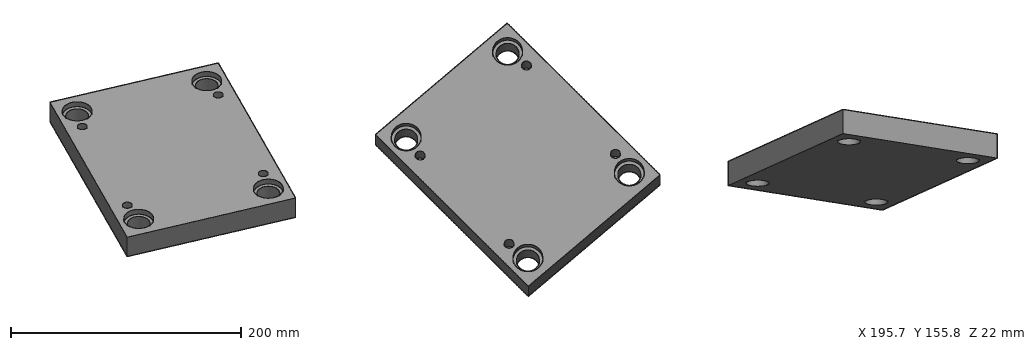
import cadquery as cq
import math

length = 195.7
width = 155.8
thickness = 22.0

bolt_spacing_x = 155.8
bolt_spacing_y = 119.8
bolt_hole_diameter = 20.0
counterbore_diameter = 26.0
counterbore_depth = 5.5

drill_spacing_x = 113.9
drill_spacing_y = 125.6
drill_diameter = 8.5
drill_depth = 15.0
drill_point_angle = 118.0


def drill_cutter():
    """Revolved drill shape with its mouth at the origin, pointing down."""
    radius = drill_diameter / 2
    point_height = radius / math.tan(math.radians(drill_point_angle / 2))
    return (
        cq.Workplane("XZ")
        .moveTo(0, 0)
        .lineTo(radius, 0)
        .lineTo(radius, -drill_depth)
        .lineTo(0, -drill_depth - point_height)
        .close()
        .revolve(360, (0, 0), (0, 1))
        .val()
    )


plate = cq.Workplane("XY").box(length, width, thickness)

plate = (
    plate.faces(">Z")
    .workplane()
    .rarray(bolt_spacing_x, bolt_spacing_y, 2, 2)
    .cboreHole(bolt_hole_diameter, counterbore_diameter, counterbore_depth)
)

drill = drill_cutter()
drilled_holes = (
    cq.Workplane("XY", origin=(0, 0, thickness / 2))
    .rarray(drill_spacing_x, drill_spacing_y, 2, 2)
    .eachpoint(lambda location: drill.moved(location))
)

result = plate.cut(drilled_holes)